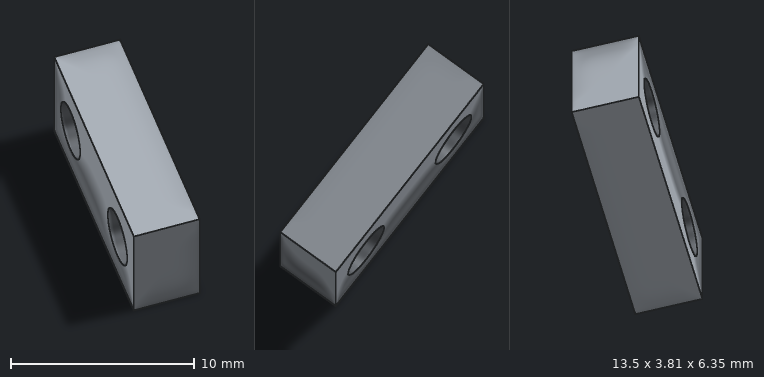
import cadquery as cq

length = 13.46
depth = 3.81
height = 6.35

hole_diameter = 3.27
hole_spacing = 7.94

block = cq.Workplane("XY").box(length, depth, height)

result = (
    block.faces("<Y")
    .workplane(centerOption="CenterOfBoundBox")
    .pushPoints([(-hole_spacing / 2, 0), (hole_spacing / 2, 0)])
    .hole(hole_diameter)
)